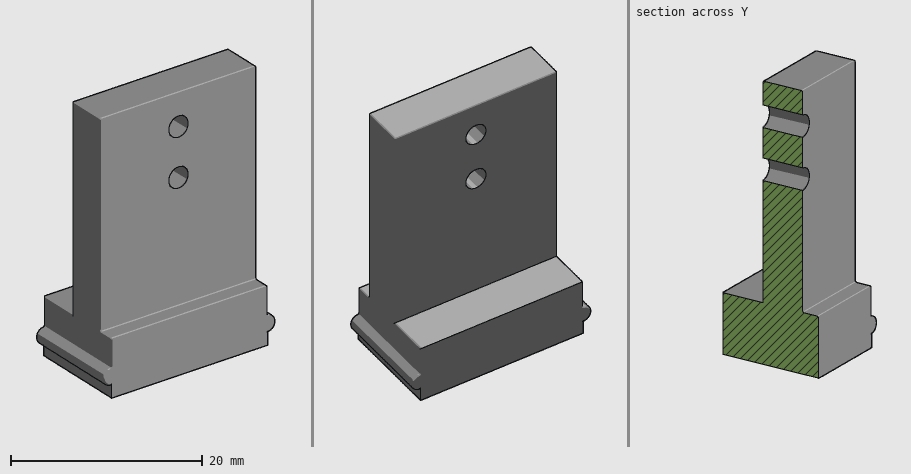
import cadquery as cq
import math

height = 32.08
base_width = 12.0
base_height = 7.03
wall_thickness = 5.0
ledge_width = 2.0
depth = 20.27

overall_depth = 22.33
bead_radius = 1.0
bead_height = 2.5

hole_diameter = 2.5
hole_top_offset = 4.0
hole_spacing = 6.0

edge_radius = 0.2

half_width = base_width / 2
half_depth = depth / 2
wall_right = half_width - ledge_width
wall_left = wall_right - wall_thickness
wall_center = (wall_left + wall_right) / 2
bead_offset = overall_depth / 2 - bead_radius


def block(width, height_z, center_x, bottom_z):
    """Box spanning the full depth, standing on bottom_z."""
    box = cq.Workplane("XY").box(width, depth, height_z, centered=(True, True, False))
    return box.translate((center_x, 0, bottom_z))


def bead(side):
    """Round bar along X, half sunk in the base."""
    bar = cq.Workplane("YZ").center(side * bead_offset, bead_height).circle(bead_radius)
    return bar.extrude(half_width, both=True)


def edge_at(x, y, z):
    """Selector for the edge whose midpoint lies at the given place."""
    margin = edge_radius / 2
    low = (x - margin, y - margin, z - margin)
    high = (x + margin, y + margin, z + margin)
    return cq.selectors.BoxSelector(low, high)


base = block(base_width, base_height, 0, 0)
wall = block(wall_thickness, height - base_height, wall_center, base_height)
body = base.union(wall)

for side in (-1, 1):
    body = body.union(bead(side))
root_rise = math.sqrt(bead_radius**2 - (half_depth - bead_offset) ** 2)
for side in (-1, 1):
    root = edge_at(0, side * half_depth, bead_height + root_rise)
    body = body.edges(root).fillet(edge_radius)

rounded_rims = (
    (wall_left, height),
    (wall_right, height),
    (wall_right, base_height),
    (half_width, base_height),
)
for x, z in rounded_rims:
    body = body.edges(edge_at(x, 0, z)).fillet(edge_radius)

for side in (-1, 1):
    near_end = cq.selectors.BoxSelector(
        (-half_width, side * half_depth - edge_radius / 2, base_height),
        (half_width, side * half_depth + edge_radius / 2, height),
    )
    body = body.faces(near_end).edges("not(|X and <Z)").fillet(edge_radius)

upper_hole = height - hole_top_offset
for z in (upper_hole, upper_hole - hole_spacing):
    drill = cq.Workplane("YZ", origin=(-half_width, 0, 0)).center(0, z).circle(hole_diameter / 2)
    body = body.cut(drill.extrude(base_width))

result = body